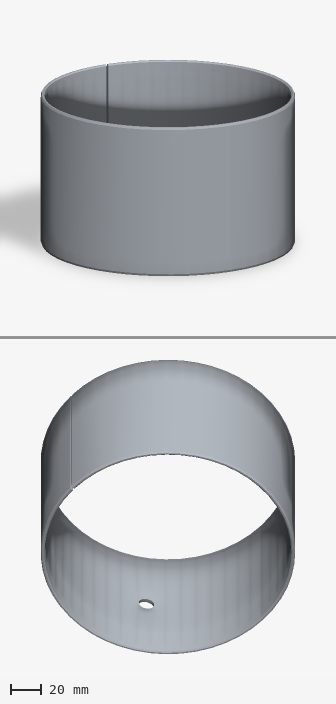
import cadquery as cq

outer_diameter = 165.0
length = 100.0
wall = 2.5
outer_chamfer_height = 1.5
outer_chamfer_depth = 0.7
inner_chamfer = 0.8
split_width = 1.5
split_depth = 4 * wall
hole_diameter = 10.0
hole_angle = 59.0

outer_radius = outer_diameter / 2
inner_radius = outer_radius - wall
half_length = length / 2


def chamfered_sleeve():
    """Revolve the wall section, with both rims chamfered inside and out."""
    outer_rim = outer_radius - outer_chamfer_depth
    inner_rim = inner_radius + inner_chamfer
    outer_shoulder = half_length - outer_chamfer_height
    inner_shoulder = half_length - inner_chamfer
    section = (
        cq.Workplane("XZ")
        .moveTo(inner_radius, -inner_shoulder)
        .lineTo(inner_rim, -half_length)
        .lineTo(outer_rim, -half_length)
        .lineTo(outer_radius, -outer_shoulder)
        .lineTo(outer_radius, outer_shoulder)
        .lineTo(outer_rim, half_length)
        .lineTo(inner_rim, half_length)
        .lineTo(inner_radius, inner_shoulder)
        .close()
    )
    return section.revolve(360, (0, 0), (0, 1))


def split_cutter():
    """Narrow full-length gap on the -X side, with one face on the XZ plane and the other towards +Y."""
    centre = (-outer_radius, split_width / 2, 0)
    return cq.Workplane("XY").box(split_depth, split_width, length).translate(centre)


def hole_cutter():
    """Radial hole through one side of the wall at mid-length."""
    drill = cq.Workplane("YZ").circle(hole_diameter / 2).extrude(outer_diameter)
    return drill.rotate((0, 0, 0), (0, 0, 1), hole_angle)


result = chamfered_sleeve().cut(split_cutter()).cut(hole_cutter())